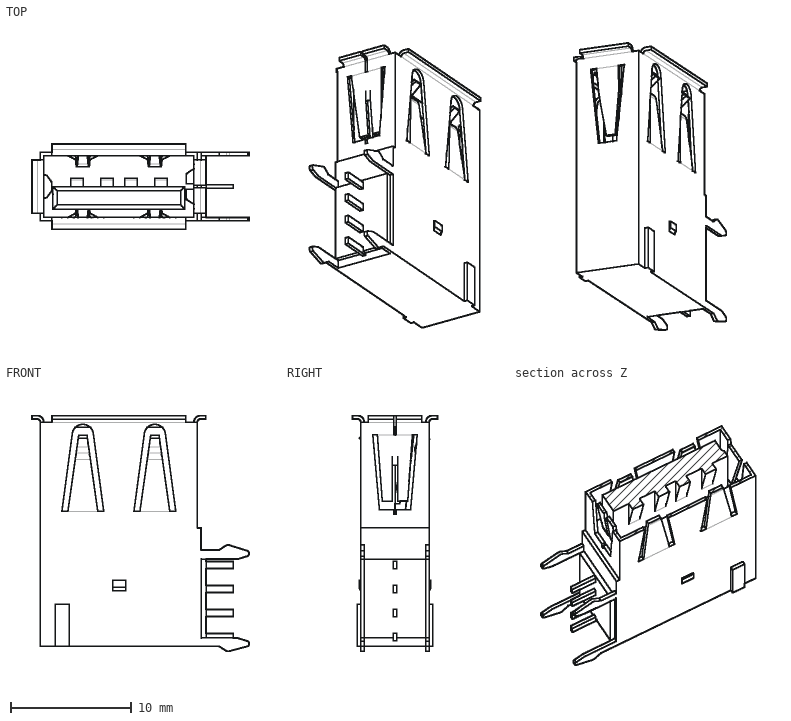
import cadquery as cq
import math


shell_width = 13.1
shell_half_depth = 2.86
shell_height = 18.68
wall = 0.3
floor_z = 11.0
shell_mid_x = shell_width / 2
seam_gap = 0.2

rear_plate_x = 13.41
rear_plate_top = 9.87
rear_pad_x = 13.82
rear_pad_bottom = 0.7
rear_pad_top = 7.26

lip_radius = 0.25
lip_reach = 0.7
long_lip_length = 11.15
short_lip_length = 4.46

window_centers = (3.55, 9.55)
window_bottom = 11.27
window_shoulder = 17.7
window_top = 18.5
window_half_bottom = 1.74
window_half_top = 0.88
arm_half_bottom = 1.24
arm_half_top = 0.35
arm_bend_z = 15.6
arm_bend_inset = 0.31
lean_angle = math.atan2(arm_bend_inset, arm_bend_z - window_bottom)
shoulder_radius = 0.63
shoulder_angle = math.radians(70)
crook_radius = 0.29
arm_tip_slope = math.radians(37)
front_tip_length = 1.13
back_tip_length = 1.03

side_window_top = 17.63
closed_side_window = [(1.55, side_window_top), (0.83, 11.06)]
closed_side_arm = [(1.0, side_window_top), (0.92, 15.5), (0.4, 11.88)]
solder_side_window = [(1.85, side_window_top), (1.3, 11.4)]
solder_side_arm = [(1.47, side_window_top), (1.06, 12.1)]
side_arm_reach = 0.95
split_arm_gap = 0.45

tongue_x_start = 1.05
tongue_x_end = 12.05
tongue_depth = 1.88
tongue_top = 18.6
tongue_chamfer = 0.35
end_step_y = -0.62
end_step_depth = 0.15
end_step_top = 18.0
contact_offsets = (-3.5, -1.0, 1.0, 3.5)
contact_width = 1.05
contact_peak_z = 16.0
contact_bow = 0.7
contact_peak_radius = 0.5
contact_lead_slope = math.radians(45)
contact_back_slope = math.radians(12)

pin_pitch = 2.0
pin_first_z = 0.78
pin_count = 4
pin_height = 0.6
pin_thickness = 0.3
pin_end_x = 16.09

prong_tip_x = 17.41
barb_start_x = 14.9
barb_peak_x = 15.6
barb_height = 0.45
barb_crest_radius = 0.3
upper_prong_bottom = 7.26
upper_prong_height = 0.78
lower_prong_height = 0.7
prong_nose_offset = 0.48
prong_nose_half = 0.22
prong_nose_length = 0.12
prong_taper_length = 0.95

rib_x = 1.26
rib_width = 1.15
rib_height = 3.53
rib_rise = 0.3
nub_x = 6.05
nub_width = 1.09
nub_bottom = 4.64
nub_ramp_top = 4.92
nub_top = 5.5
nub_rise = 0.13


def box(x0, x1, y0, y1, z0, z1):
    return cq.Workplane("XY").box(x1 - x0, y1 - y0, z1 - z0, centered=False).translate((x0, y0, z0))


def mirrored_y(solid):
    return solid.mirror("XZ")


def mirrored_x(solid):
    return solid.mirror("YZ", (shell_mid_x, 0, 0))


def shell_body():
    d = shell_half_depth
    body = box(0, shell_width, -d, d, 0, shell_height)
    body = body.union(box(shell_mid_x, rear_plate_x, -d, d, 0, rear_plate_top))
    inner = d - wall
    body = body.union(box(shell_mid_x, rear_pad_x, -inner, inner, rear_pad_bottom, rear_pad_top))
    return body.cut(box(wall, shell_width - wall, -inner, inner, floor_z, shell_height))


def lip_profile(plane):
    """Flared lip section: quarter bend from a wall whose outer face is at 0, flaring to the minus side."""
    outer_radius = lip_radius + wall
    diagonal = math.sqrt(0.5)
    return (
        cq.Workplane(plane)
        .moveTo(0, shell_height)
        .lineTo(wall, shell_height)
        .threePointArc(
            (-lip_radius + outer_radius * diagonal, shell_height + outer_radius * diagonal),
            (-lip_radius, shell_height + outer_radius),
        )
        .lineTo(-lip_reach, shell_height + outer_radius)
        .lineTo(-lip_reach, shell_height + lip_radius)
        .lineTo(-lip_radius, shell_height + lip_radius)
        .threePointArc(
            (-lip_radius + lip_radius * diagonal, shell_height + lip_radius * diagonal),
            (0, shell_height),
        )
        .close()
    )


def lips():
    short_lip = lip_profile("XZ").extrude(short_lip_length / 2, both=True)
    long_lip = lip_profile("YZ").extrude(long_lip_length / 2, both=True)
    long_lip = long_lip.translate((shell_mid_x, -shell_half_depth, 0))
    return short_lip.union(mirrored_x(short_lip)).union(long_lip).union(mirrored_y(long_lip))


def broad_window(center_x):
    """Arch-topped tapered opening through the -Y wall."""
    return (
        cq.Workplane("XZ", origin=(center_x, -shell_half_depth + wall, 0))
        .moveTo(-window_half_bottom, window_bottom)
        .lineTo(-window_half_top, window_shoulder)
        .threePointArc((0, window_top), (window_half_top, window_shoulder))
        .lineTo(window_half_bottom, window_bottom)
        .close()
        .extrude(wall)
    )


def broad_arm(center_x, tip_length):
    """Spring arm of the -Y wall: leans in, bends inward at a shoulder, and turns back out at a crook."""
    base_y = -shell_half_depth

    def along_normal(point, distance, tilt):
        """Move from a point along the outward face normal, tilted upward from -Y."""
        return (point[0] - distance * math.cos(tilt), point[1] + distance * math.sin(tilt))

    bend_start = (base_y + arm_bend_inset, arm_bend_z)
    shoulder_center = along_normal(bend_start, -shoulder_radius, lean_angle)
    crook_center = along_normal(shoulder_center, shoulder_radius + crook_radius, shoulder_angle)
    shoulder_middle = (lean_angle + shoulder_angle) / 2
    tip_tilt = arm_tip_slope - math.pi / 2

    def on_shoulder(depth, tilt):
        return along_normal(shoulder_center, shoulder_radius - depth, tilt)

    def on_crook(depth, tilt):
        return along_normal(crook_center, -(crook_radius + depth), tilt)

    def at_tip(depth):
        return along_normal(on_crook(depth, tip_tilt), tip_length, arm_tip_slope)

    profile = (
        cq.Workplane("YZ", origin=(center_x, 0, 0))
        .moveTo(base_y, window_bottom)
        .lineTo(*bend_start)
        .threePointArc(on_shoulder(0, shoulder_middle), on_shoulder(0, shoulder_angle))
        .threePointArc(on_crook(0, 0), on_crook(0, tip_tilt))
        .lineTo(*at_tip(0))
        .lineTo(*at_tip(wall))
        .lineTo(*on_crook(wall, tip_tilt))
        .threePointArc(on_crook(wall, 0), on_crook(wall, shoulder_angle))
        .threePointArc(on_shoulder(wall, shoulder_middle), on_shoulder(wall, lean_angle))
        .lineTo(base_y + wall, window_bottom)
        .close()
        .extrude(arm_half_bottom, both=True)
    )
    outline = (
        cq.Workplane("XZ", origin=(center_x, 0, 0))
        .moveTo(-arm_half_bottom, window_bottom)
        .lineTo(-arm_half_top, at_tip(wall)[1])
        .lineTo(arm_half_top, at_tip(wall)[1])
        .lineTo(arm_half_bottom, window_bottom)
        .close()
        .extrude(2 * shell_half_depth)
    )
    return profile.intersect(outline)


def half_outline_prism(half_outline, length):
    """Prism along +X whose (Y, Z) section is symmetric about Y = 0."""
    mirrored = [(-y, z) for y, z in reversed(half_outline)]
    return cq.Workplane("YZ").polyline(half_outline + mirrored).close().extrude(length)


def side_arm(half_outline):
    """Flat spring arm hinged at the top of the -X wall window and leaning inward to its lower end."""
    tip_z = half_outline[-1][1]
    lean = side_arm_reach - wall
    profile = (
        cq.Workplane("XZ")
        .polyline([(0, side_window_top), (wall, side_window_top), (wall + lean, tip_z), (lean, tip_z)])
        .close()
        .extrude(shell_half_depth, both=True)
    )
    return profile.intersect(half_outline_prism(half_outline, side_arm_reach))


def tongue():
    """Chamfered tongue whose -X end is set back behind a bevelled step below the chamfer."""
    block = box(tongue_x_start, tongue_x_end, -tongue_depth, 0, floor_z, tongue_top)
    block = block.faces(">Z").edges().chamfer(tongue_chamfer)
    set_back = (
        cq.Workplane("XY", origin=(tongue_x_start, 0, floor_z))
        .polyline(
            [
                (0, end_step_y),
                (end_step_depth, end_step_y - end_step_depth),
                (end_step_depth, -tongue_depth),
                (0, -tongue_depth),
            ]
        )
        .close()
        .extrude(end_step_top - floor_z)
    )
    return block.cut(set_back)


def contacts():
    """Contact bumps on the +Y face of the tongue: steep lead-in, round peak, long shallow back."""
    center_y = contact_bow - contact_peak_radius

    def on_peak(angle):
        y = center_y + contact_peak_radius * math.cos(angle)
        z = contact_peak_z + contact_peak_radius * math.sin(angle)
        return (y, z)

    lead_end = on_peak(contact_lead_slope)
    back_end = on_peak(-contact_back_slope)
    bump = (
        cq.Workplane("YZ")
        .moveTo(0, lead_end[1] + lead_end[0] * math.tan(contact_lead_slope))
        .lineTo(*lead_end)
        .threePointArc(on_peak(0), back_end)
        .lineTo(0, back_end[1] - back_end[0] / math.tan(contact_back_slope))
        .close()
        .extrude(contact_width / 2, both=True)
    )
    group = cq.Workplane("XY")
    for offset in contact_offsets:
        group = group.add(bump.translate((shell_mid_x + offset, 0, 0)))
    return group.combine()


def solder_pins():
    half_thickness = pin_thickness / 2
    half_height = pin_height / 2
    pin = box(shell_mid_x, pin_end_x, -half_thickness, half_thickness, -half_height, half_height)
    group = cq.Workplane("XY")
    for index in range(pin_count):
        group = group.add(pin.translate((0, 0, pin_first_z + index * pin_pitch)))
    return group.combine()


def prong(plain_z, barb_z, barb_sign):
    """Board-lock prong in the -Y wall with one plain edge and one barbed edge."""
    nose_x = prong_tip_x - prong_nose_length
    nose_z = plain_z + barb_sign * prong_nose_offset
    crest_z = barb_z + barb_sign * barb_height
    plate = (
        cq.Workplane("XZ", origin=(0, -shell_half_depth + wall, 0))
        .moveTo(shell_mid_x, plain_z)
        .lineTo(prong_tip_x - prong_taper_length, plain_z)
        .lineTo(nose_x, nose_z - barb_sign * prong_nose_half)
        .threePointArc((prong_tip_x, nose_z), (nose_x, nose_z + barb_sign * prong_nose_half))
        .lineTo(barb_peak_x, crest_z)
        .lineTo(barb_start_x, barb_z)
        .lineTo(shell_mid_x, barb_z)
        .close()
        .extrude(wall)
    )
    crest_side = ">Z" if barb_sign > 0 else "<Z"
    return plate.edges(crest_side).fillet(barb_crest_radius)


def prongs():
    upper = prong(upper_prong_bottom, upper_prong_bottom + upper_prong_height, 1)
    lower = prong(lower_prong_height, 0, -1)
    return upper.union(lower)


def rib_and_nub():
    """Raised rib and ramped latch nub on the -Y wall."""
    face = -shell_half_depth
    rib = box(rib_x, rib_x + rib_width, face - rib_rise, face, 0, rib_height)
    nub = (
        cq.Workplane("YZ", origin=(nub_x, 0, 0))
        .moveTo(face, nub_bottom)
        .lineTo(face - nub_rise, nub_ramp_top)
        .lineTo(face - nub_rise, nub_top)
        .lineTo(face, nub_top)
        .close()
        .extrude(nub_width)
    )
    return rib.union(nub)


def split_side_arm():
    """Arm of the +X wall, divided in two along its middle."""
    half_gap = split_arm_gap / 2
    gap = box(wall, side_arm_reach, -half_gap, half_gap, floor_z, side_window_top)
    return mirrored_x(side_arm(solder_side_arm).cut(gap))


def seam():
    """Joint of the folded sheet: a slit down the +X wall and its lip."""
    slit_end = shell_width + lip_reach
    lip_top = shell_height + lip_radius + wall
    return box(shell_width - wall, slit_end, -seam_gap / 2, seam_gap / 2, floor_z, lip_top)


result = shell_body().union(lips()).cut(seam())

for window_x in window_centers:
    opening = broad_window(window_x)
    result = result.cut(opening).cut(mirrored_y(opening))

result = result.cut(half_outline_prism(closed_side_window, wall))
result = result.cut(mirrored_x(half_outline_prism(solder_side_window, wall)))
result = result.union(side_arm(closed_side_arm)).union(split_side_arm())

for window_x in window_centers:
    result = result.union(broad_arm(window_x, front_tip_length))
    result = result.union(mirrored_y(broad_arm(window_x, back_tip_length)))

broad_wall_details = prongs().union(rib_and_nub())
result = result.union(broad_wall_details).union(mirrored_y(broad_wall_details))
result = result.union(tongue()).union(contacts()).union(solder_pins())